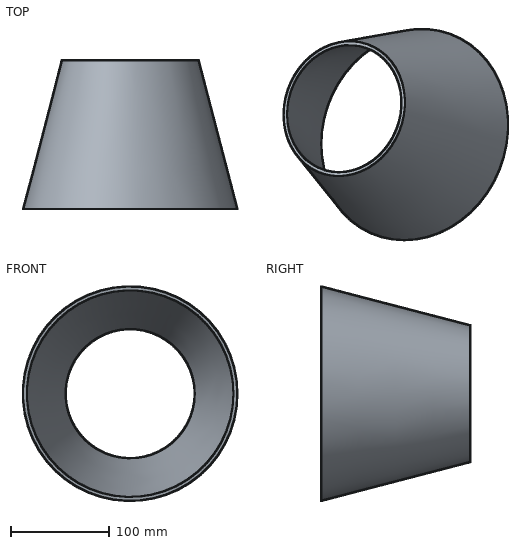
import cadquery as cq

large_diameter = 219.0
small_diameter = 139.8
length = 152.0
radial_wall = 4.2

large_radius = large_diameter / 2
small_radius = small_diameter / 2
front_y = -length / 2
back_y = length / 2

wall_section = [
    (large_radius - radial_wall, front_y),
    (large_radius, front_y),
    (small_radius, back_y),
    (small_radius - radial_wall, back_y),
]

result = (
    cq.Workplane("XY")
    .polyline(wall_section)
    .close()
    .revolve(360, (0, 0, 0), (0, 1, 0))
)